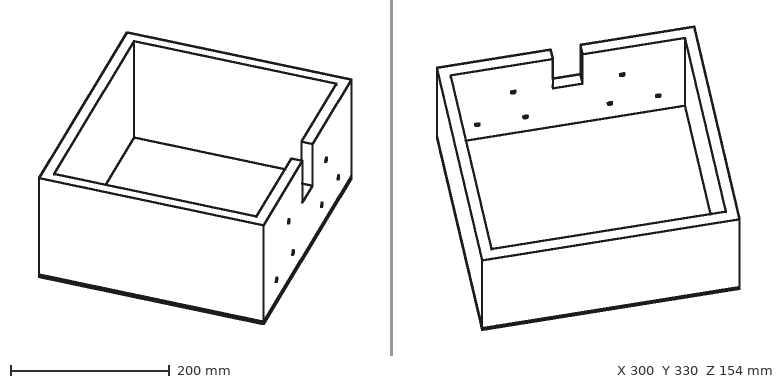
import cadquery as cq

length_x = 300.0
length_y = 330.0
height = 154.0

plate_thickness = 4.0
wall_thickness = 15.0
wall_height = height - plate_thickness

notch_width = 38.0
notch_depth = 65.0

hole_diameter = 5.5
hole_pairs = [(70.0, 59.5), (115.8, 118.8), (54.0, 118.8)]

inner_face_x = length_x / 2 - wall_thickness


def make_base_plate():
    """Flat plate that closes the bottom of the frame."""
    return cq.Workplane("XY").box(length_x, length_y, plate_thickness, centered=(True, True, False))


def make_notch_cutter():
    """Block that cuts the rim notch through the +X wall."""
    return (
        cq.Workplane("XY")
        .box(wall_thickness, notch_width, notch_depth, centered=(False, True, False))
        .translate((inner_face_x, 0, height - notch_depth))
    )


def make_hole_cutters():
    """Cylinders along X that cut the mirrored holes through the +X wall."""
    centres = [
        (side * offset, height - depth)
        for offset, depth in hole_pairs
        for side in (-1, 1)
    ]
    return (
        cq.Workplane("YZ", origin=(inner_face_x, 0, 0))
        .pushPoints(centres)
        .circle(hole_diameter / 2)
        .extrude(wall_thickness)
    )


def make_wall_frame():
    """Four walls standing on the base plate, open at top and bottom."""
    frame = (
        cq.Workplane("XY", origin=(0, 0, plate_thickness))
        .rect(length_x, length_y)
        .rect(length_x - 2 * wall_thickness, length_y - 2 * wall_thickness)
        .extrude(wall_height)
    )
    return frame.cut(make_notch_cutter()).cut(make_hole_cutters())


base_plate = make_base_plate()
wall_frame = make_wall_frame()

result = cq.Compound.makeCompound([base_plate.val(), *wall_frame.solids().vals()])